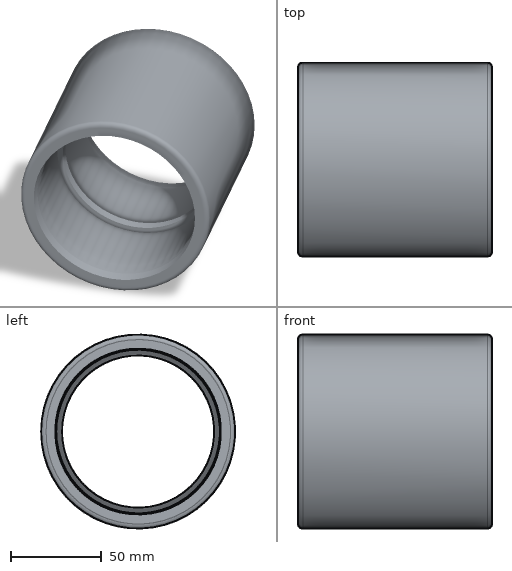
import cadquery as cq

length = 107.0
outer_diameter = 107.0
edge_radius = 2.7

socket_diameter = 90.0
mouth_diameter = 91.5
lead_in_depth = 5.6

stop_diameter = 83.7
stop_width = 5.4

outer_radius = outer_diameter / 2
socket_radius = socket_diameter / 2
mouth_radius = mouth_diameter / 2
stop_radius = stop_diameter / 2
half_length = length / 2
half_stop = stop_width / 2
lead_in_end = half_length - lead_in_depth

sleeve = (
    cq.Workplane("YZ", origin=(-half_length, 0, 0))
    .circle(outer_radius)
    .extrude(length)
    .edges()
    .fillet(edge_radius)
)

bore_profile = [
    (-half_length, 0),
    (-half_length, mouth_radius),
    (-lead_in_end, socket_radius),
    (-half_stop, socket_radius),
    (-half_stop, stop_radius),
    (half_stop, stop_radius),
    (half_stop, socket_radius),
    (lead_in_end, socket_radius),
    (half_length, mouth_radius),
    (half_length, 0),
]
bore = (
    cq.Workplane("XY")
    .polyline(bore_profile)
    .close()
    .revolve(360, (0, 0, 0), (1, 0, 0))
)

result = sleeve.cut(bore)